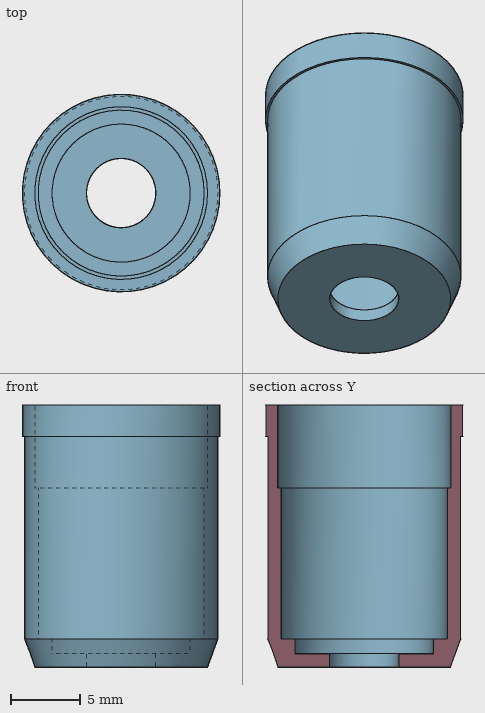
import cadquery as cq

total_height = 19.0
collar_height = 2.3
taper_height = 2.05

collar_diameter = 14.3
body_diameter = 14.0
tip_diameter = 12.5

mouth_diameter = 12.5
bore_diameter = 12.0
recess_diameter = 10.0
hole_diameter = 5.0

mouth_depth = 6.0
mouth_level = total_height - mouth_depth
bore_level = taper_height
recess_level = (body_diameter - bore_diameter) / 2


def turned_outside():
    """Collar, straight body and tapered tip as one turned solid."""
    collar_level = total_height - collar_height
    return (
        cq.Workplane("XZ")
        .lineTo(tip_diameter / 2, 0)
        .lineTo(body_diameter / 2, taper_height)
        .lineTo(body_diameter / 2, collar_level)
        .lineTo(collar_diameter / 2, collar_level)
        .lineTo(collar_diameter / 2, total_height)
        .lineTo(0, total_height)
        .close()
        .revolve(360, (0, 0, 0), (0, 1, 0))
    )


def bore_from_top(diameter, bottom_level):
    """Cylinder to cut away, from the top face down to the given level."""
    return (
        cq.Workplane("XY")
        .workplane(offset=bottom_level)
        .circle(diameter / 2)
        .extrude(total_height - bottom_level)
    )


bore_steps = [
    (mouth_diameter, mouth_level),
    (bore_diameter, bore_level),
    (recess_diameter, recess_level),
    (hole_diameter, 0),
]

result = turned_outside()
for step_diameter, step_level in bore_steps:
    result = result.cut(bore_from_top(step_diameter, step_level))